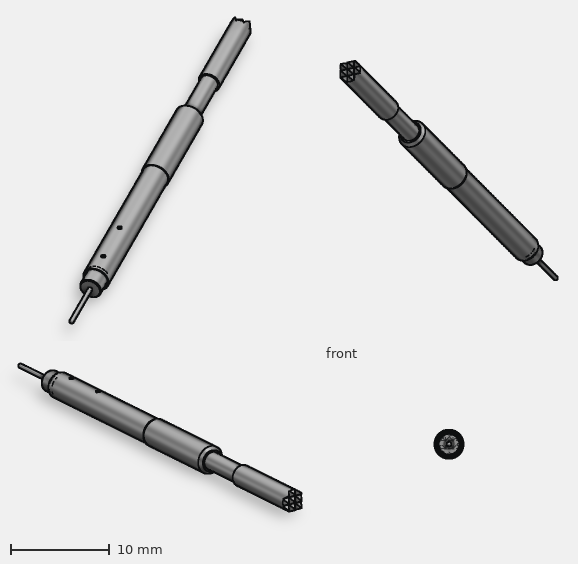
import cadquery as cq
import math

length = 48.8

barrel_dia = 3.0
tube_dia = 2.8
tail_dia = 2.3
neck_dia = 1.9
head_dia = 2.3

tail_end_y = 5.5
tube_end_y = 7.12
collar_y = 24.0
barrel_top_y = 34.05
head_base_y = 39.35

mouth_dia = 2.55
mouth_depth = 0.5

barrel_chamfer = 0.35
tail_chamfer = 0.1

pin_dia = 0.5

tooth_pitch = 0.8
tooth_angle = 60.0
groove_offsets = [step * tooth_pitch for step in (-1.5, -0.5, 0.5, 1.5)]
groove_depth = tooth_pitch / 2 / math.tan(math.radians(tooth_angle / 2))

dimple_dia = 0.5
dimple_floor_dia = 0.25
dimple_depth = 0.15
dimple_positions = (9.2, 13.9)


def turned_body():
    """Revolve the stepped half profile, with its domed pin, about the Y axis."""
    pin_radius = pin_dia / 2
    shoulders = [
        (pin_radius, tail_end_y),
        (tail_dia / 2 - tail_chamfer, tail_end_y),
        (tail_dia / 2, tail_end_y + tail_chamfer),
        (tail_dia / 2, tube_end_y + mouth_depth),
        (mouth_dia / 2, tube_end_y + mouth_depth),
        (mouth_dia / 2, tube_end_y),
        (tube_dia / 2, tube_end_y),
        (tube_dia / 2, collar_y),
        (barrel_dia / 2, collar_y),
        (barrel_dia / 2, barrel_top_y - barrel_chamfer),
        (barrel_dia / 2 - barrel_chamfer, barrel_top_y),
        (neck_dia / 2, barrel_top_y),
        (neck_dia / 2, head_base_y),
        (head_dia / 2, head_base_y),
        (head_dia / 2, length),
        (0, length),
    ]
    tip_bulge = pin_radius * math.sqrt(0.5)
    half_profile = (
        cq.Workplane("XY")
        .moveTo(0, 0)
        .threePointArc((tip_bulge, pin_radius - tip_bulge), (pin_radius, pin_radius))
        .polyline(shoulders, includeCurrent=True)
        .close()
    )
    return half_profile.revolve(360, (0, 0, 0), (0, 1, 0))


def crown_grooves():
    """V grooves running along Z, repeated a quarter turn round to run along X."""
    grooves = cq.Workplane("XY")
    for offset in groove_offsets:
        groove = (
            cq.Workplane("XY")
            .moveTo(offset - tooth_pitch / 2, length)
            .lineTo(offset, length - groove_depth)
            .lineTo(offset + tooth_pitch / 2, length)
            .close()
            .extrude(head_dia, both=True)
        )
        grooves = grooves.add(groove)
    quarter_turn = grooves.rotate((0, 0, 0), (0, 1, 0), 90)
    return grooves.vals() + quarter_turn.vals()


def dimple(y):
    """Tapered cutter for one shallow dimple in the top of the tube."""
    floor_z = tube_dia / 2 - dimple_depth
    cutter = cq.Solid.makeCone(
        dimple_floor_dia / 2, dimple_dia / 2, dimple_depth, cq.Vector(0, y, floor_z), cq.Vector(0, 0, 1)
    )
    return cq.Workplane(cutter)


result = turned_body()
for groove in crown_grooves():
    result = result.cut(cq.Workplane(groove))
for y in dimple_positions:
    result = result.cut(dimple(y))